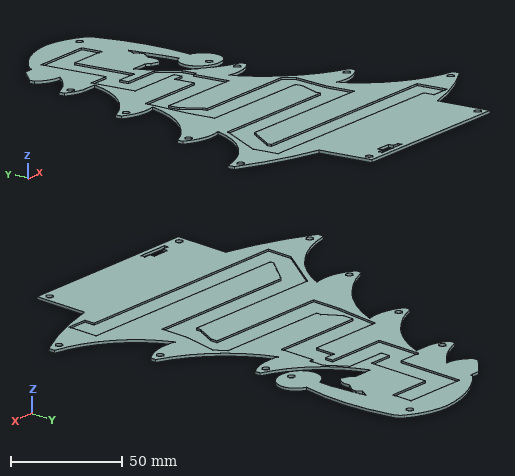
import cadquery as cq

plate_thickness = 1.5
channel_depth = 1.0
hole_diameter = 3.4

trunk_half_width = 48.2
trunk_height = 28.5
neck_half_width = 15.8
neck_height = 171.0
lower_tip_x = -91.7

tiers = [
    {
        "underside": (-70.0, 35.2),
        "tip_low": (lower_tip_x, 45.3),
        "tip_high": (lower_tip_x, 49.0),
        "flank": (-65.1, 60.9),
        "notch": (-trunk_half_width, 83.0),
    },
    {
        "underside": (-60.0, 82.7),
        "tip_low": (-70.0, 87.5),
        "tip_high": (-70.0, 90.4),
        "flank": (-46.2, 106.0),
        "notch": (-31.0, 129.5),
    },
    {
        "underside": (-42.1, 129.4),
        "tip_low": (-51.2, 133.2),
        "tip_high": (-51.2, 136.4),
        "flank": (-29.0, 150.0),
        "notch": (-neck_half_width, neck_height),
    },
]

bobble_center = (45.5, 154.5)
bobble_radius_x = 11.3
bobble_radius_y = 10.0

channel_outline = [
    (-1.5, 209.5), (31.5, 209.5), (31.5, 198.5), (9.2, 198.5), (9.2, 166.0), (-3.0, 166.0),
    (-3.0, 161.4), (18.5, 161.4), (25.5, 151.2), (25.5, 143.5), (23.5, 143.5), (23.5, 124.6),
    (-25.5, 124.6), (-25.5, 118.8), (-19.8, 110.0), (-19.8, 107.7), (40.5, 107.7), (44.5, 102.0),
    (40.5, 83.2), (40.5, 68.3), (-40.5, 68.3), (-52.5, 53.5), (-52.5, 51.5), (66.3, 51.5),
    (66.3, 35.2), (55.5, 35.2), (55.5, 40.5), (-63.3, 40.5), (-63.3, 54.0), (-46.2, 79.0),
    (29.5, 79.0), (29.5, 81.5), (35.0, 92.6), (35.0, 96.2), (-30.9, 96.2), (-30.9, 111.1),
    (-28.2, 135.5), (12.0, 135.5), (12.0, 146.3), (18.0, 146.3), (18.0, 150.5), (-13.7, 150.5),
    (-13.7, 174.2), (-1.5, 174.2),
]

slot_center_x = -27.7
slot_bottom = 2.7
slot_width = 16.0
slot_height = 2.0
slot_step_width = 8.8
slot_step_height = 2.7

paired_holes = [(85.5, 46.0), (64.5, 88.1), (45.3, 134.5), (44.2, 4.0)]
single_holes = [(-28.5, 175.5), (39.7, 216.0), (44.9, 149.5)]


def half_tree():
    """Left half of the trunk and the tiers, up to the neck."""
    outline = cq.Workplane("XY").moveTo(0, 0).lineTo(-trunk_half_width, 0)
    outline = outline.lineTo(-trunk_half_width, trunk_height)
    for tier in tiers:
        outline = outline.threePointArc(tier["underside"], tier["tip_low"])
        outline = outline.lineTo(*tier["tip_high"])
        outline = outline.threePointArc(tier["flank"], tier["notch"])
    return outline.lineTo(0, neck_height).close().extrude(plate_thickness)


def head():
    """Head in profile, from the neck round the face, hat and hanging hat end to the hair."""
    return (
        cq.Workplane("XY")
        .moveTo(-neck_half_width, neck_height)
        .lineTo(-24.3, neck_height)
        .threePointArc((-29.5, 172.5), (-34.3, 175.1))
        .lineTo(-34.3, 178.0)
        .lineTo(-26.4, 181.5)
        .threePointArc((-19.4, 186.0), (-13.7, 191.1))
        .threePointArc((-21.9, 193.5), (-25.5, 197.0))
        .lineTo(-25.5, 199.7)
        .lineTo(-15.0, 209.0)
        .lineTo(-9.7, 209.2)
        .lineTo(-9.7, 210.0)
        .threePointArc((6.5, 220.9), (25.2, 225.5))
        .threePointArc((36.3, 223.5), (46.5, 218.6))
        .threePointArc((48.5, 216.5), (49.5, 213.7))
        .threePointArc((52.7, 189.0), (50.3, 163.2))
        .lineTo(*bobble_center)
        .lineTo(41.7, 163.2)
        .lineTo(41.7, 170.5)
        .lineTo(40.0, 189.8)
        .lineTo(37.2, 185.3)
        .lineTo(39.0, 183.0)
        .lineTo(39.0, 180.5)
        .lineTo(35.5, 176.3)
        .lineTo(35.5, 172.9)
        .threePointArc((34.5, 170.0), (32.0, 167.5))
        .lineTo(27.3, 169.3)
        .lineTo(25.7, neck_height)
        .lineTo(neck_half_width, neck_height)
        .close()
        .extrude(plate_thickness)
    )


def bobble():
    return (
        cq.Workplane("XY")
        .center(*bobble_center)
        .ellipse(bobble_radius_x, bobble_radius_y)
        .extrude(plate_thickness)
    )


def channel():
    floor = cq.Workplane("XY").workplane(offset=plate_thickness - channel_depth)
    return floor.polyline(channel_outline).close().extrude(channel_depth)


def slot():
    slot_top = slot_bottom + slot_height
    lower = (
        cq.Workplane("XY")
        .center(slot_center_x, slot_bottom + slot_height / 2)
        .rect(slot_width, slot_height)
        .extrude(plate_thickness)
    )
    upper = (
        cq.Workplane("XY")
        .center(slot_center_x, slot_top + slot_step_height / 2)
        .rect(slot_step_width, slot_step_height)
        .extrude(plate_thickness)
    )
    return lower.union(upper)


def holes():
    centers = list(single_holes)
    for x, y in paired_holes:
        centers += [(-x, y), (x, y)]
    return cq.Workplane("XY").pushPoints(centers).circle(hole_diameter / 2).extrude(plate_thickness)


left_half = half_tree()
tree = left_half.union(left_half.mirror("YZ"))
plate = tree.union(head()).union(bobble()).clean()
result = plate.cut(channel()).cut(slot()).cut(holes())